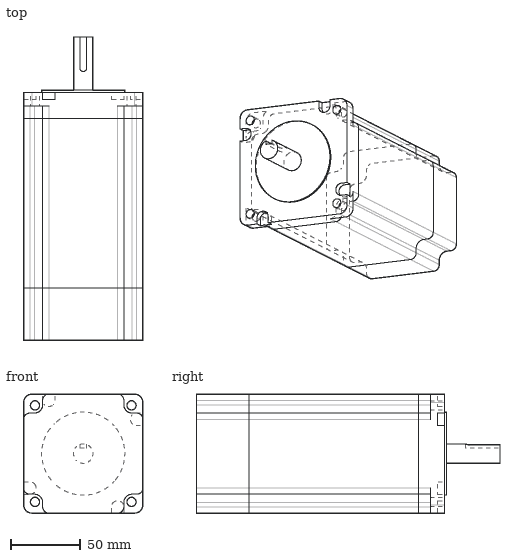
import cadquery as cq
import math


frame_size = 86.0
half_frame = frame_size / 2
hole_pitch = 69.6
hole_diameter = 6.5

relief_wall = 29.25
hollow_radius = 6.0
edge_radius = 4.5
hollow_center = relief_wall + hollow_radius
edge_center_in = relief_wall - edge_radius
edge_center_out = half_frame - edge_radius

flange_thickness = 10.0
flange_corner_radius = 6.0
front_cap_length = 19.0
stator_length = 122.0
rear_cap_length = 38.0

pilot_diameter = 60.0
pilot_height = 1.5

slot_radius = 4.5
slot_length = 5.3
slot_offset = 24.8
slot_center = half_frame - slot_radius
side_count = 4

shaft_diameter = 14.0
shaft_reach = 40.0
key_width = 5.0
key_length = 25.0
key_depth = 3.0


def section_at(y):
    """Workplane facing -Y, so that a positive extrusion runs towards the rear."""
    return cq.Workplane("XZ", origin=(0, y, 0))


def relieved_prism(front_y, length):
    """Frame section with a rounded relief in each corner, extruded rearwards."""
    arc_middle = hollow_center - hollow_radius * math.sqrt(0.5)
    edge_middle_in = edge_center_in + edge_radius * math.sqrt(0.5)
    edge_middle_out = edge_center_out + edge_radius * math.sqrt(0.5)
    corner = [
        (half_frame, edge_center_in),
        (edge_middle_out, edge_middle_in),
        (edge_center_out, relief_wall),
        (hollow_center, relief_wall),
        (arc_middle, arc_middle),
        (relief_wall, hollow_center),
        (relief_wall, edge_center_out),
        (edge_middle_in, edge_middle_out),
        (edge_center_in, half_frame),
    ]
    outline = section_at(front_y).moveTo(half_frame, -edge_center_in)
    for _ in range(side_count):
        outline = (
            outline.lineTo(*corner[0])
            .threePointArc(corner[1], corner[2])
            .lineTo(*corner[3])
            .threePointArc(corner[4], corner[5])
            .lineTo(*corner[6])
            .threePointArc(corner[7], corner[8])
        )
        corner = [(-z, x) for x, z in corner]
    return outline.close().extrude(length)


def front_cap_body():
    """Square mounting flange with pilot, screw holes and rim slots, narrowing to the frame section."""
    flange = section_at(0).rect(frame_size, frame_size).extrude(flange_thickness)
    flange = flange.edges("|Y").fillet(flange_corner_radius)
    neck = relieved_prism(-flange_thickness, front_cap_length - flange_thickness)
    pilot = section_at(pilot_height).circle(pilot_diameter / 2).extrude(pilot_height)
    cap = flange.union(neck).union(pilot)
    holes = (
        section_at(0)
        .rect(hole_pitch, hole_pitch, forConstruction=True)
        .vertices()
        .circle(hole_diameter / 2)
        .extrude(flange_thickness)
    )
    cap = cap.cut(holes)
    slot_near = -slot_offset + slot_radius
    slot_far = -slot_offset - slot_radius
    slot = (
        section_at(0)
        .moveTo(slot_far, half_frame)
        .lineTo(slot_far, slot_center)
        .threePointArc((-slot_offset, slot_center - slot_radius), (slot_near, slot_center))
        .lineTo(slot_near, half_frame)
        .close()
        .extrude(slot_length)
    )
    for side in range(side_count):
        turn = side * 360 / side_count
        cap = cap.cut(slot.rotate((0, 0, 0), (0, 1, 0), turn))
    return cap


def shaft_body():
    """Round output shaft standing on the pilot, with a keyway open at the tip."""
    shaft = section_at(shaft_reach).circle(shaft_diameter / 2).extrude(shaft_reach - pilot_height)
    key_floor = shaft_diameter / 2 - key_depth
    key_end = shaft_reach - key_length
    key_arc_start = key_end + key_width / 2
    keyway = (
        cq.Workplane("XY", origin=(0, 0, key_floor))
        .moveTo(-key_width / 2, shaft_reach)
        .lineTo(-key_width / 2, key_arc_start)
        .threePointArc((0, key_end), (key_width / 2, key_arc_start))
        .lineTo(key_width / 2, shaft_reach)
        .close()
        .extrude(key_depth)
    )
    return shaft.cut(keyway)


front_cap = front_cap_body()
stator = relieved_prism(-front_cap_length, stator_length)
rear_cap = relieved_prism(-front_cap_length - stator_length, rear_cap_length)
shaft = shaft_body()

result = cq.Compound.makeCompound([front_cap.val(), stator.val(), rear_cap.val(), shaft.val()])